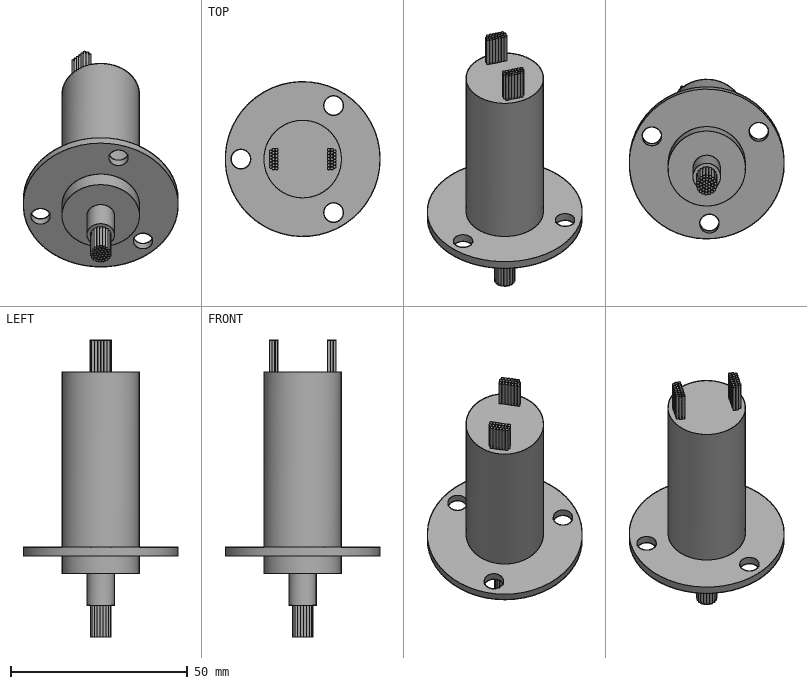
import cadquery as cq
import math

TOTAL_HEIGHT = 84.3
WIRE_LENGTH = 9.0
CABLE_LENGTH = 9.0
HOUSING_BELOW_FLANGE = 5.0
FLANGE_THICKNESS = 2.5

CABLE_BOTTOM = WIRE_LENGTH
HOUSING_BOTTOM = CABLE_BOTTOM + CABLE_LENGTH
FLANGE_BOTTOM = HOUSING_BOTTOM + HOUSING_BELOW_FLANGE
HOUSING_TOP = TOTAL_HEIGHT - WIRE_LENGTH

HOUSING_DIAMETER = 22.0
FLANGE_DIAMETER = 2 * HOUSING_DIAMETER
CABLE_DIAMETER = 7.8

HOLE_COUNT = 3
HOLE_DIAMETER = 5.5
HOLE_CIRCLE_RADIUS = 17.5
FIRST_HOLE_ANGLE = 180.0

WIRE_DIAMETER = 0.83
WIRE_GAP = 0.05
WIRE_PITCH = WIRE_DIAMETER + WIRE_GAP
WIRE_EMBED = 0.85

NESTING_ANGLE = math.radians(60)
INNER_COLUMN_X = 7.4
MIDDLE_COLUMN_X = INNER_COLUMN_X + WIRE_PITCH
OUTER_COLUMN_X = MIDDLE_COLUMN_X + WIRE_PITCH * math.sin(NESTING_ANGLE)

UPPER_COLUMNS = [(INNER_COLUMN_X, 7), (MIDDLE_COLUMN_X, 7), (OUTER_COLUMN_X, 6)]

LOWER_RING_COUNT = 3
WIRES_ADDED_PER_RING = 6
LOWER_RING_STEP = 0.85
LOWER_RING_TURN = math.radians(6)


def cylinder(diameter, bottom, height):
    return cq.Workplane("XY").workplane(offset=bottom).circle(diameter / 2).extrude(height)


def flange():
    plate = cylinder(FLANGE_DIAMETER, FLANGE_BOTTOM, FLANGE_THICKNESS)
    holes = (
        cq.Workplane("XY")
        .workplane(offset=FLANGE_BOTTOM)
        .polarArray(HOLE_CIRCLE_RADIUS, FIRST_HOLE_ANGLE, 360, HOLE_COUNT)
        .circle(HOLE_DIAMETER / 2)
        .extrude(FLANGE_THICKNESS)
    )
    return plate.cut(holes)


def upper_wire_centres():
    centres = []
    for side in (-1, 1):
        for distance, count in UPPER_COLUMNS:
            for index in range(count):
                y = (index - (count - 1) / 2) * WIRE_PITCH
                centres.append((side * distance, y))
    return centres


def lower_wire_centres():
    centres = [(0.0, 0.0)]
    for ring in range(1, LOWER_RING_COUNT + 1):
        count = WIRES_ADDED_PER_RING * ring
        radius = LOWER_RING_STEP * ring
        for index in range(count):
            angle = LOWER_RING_TURN + 2 * math.pi * index / count
            centres.append((radius * math.cos(angle), radius * math.sin(angle)))
    return centres


def wires(centres, bottom):
    return (
        cq.Workplane("XY")
        .workplane(offset=bottom)
        .pushPoints(centres)
        .circle(WIRE_DIAMETER / 2)
        .extrude(WIRE_LENGTH + WIRE_EMBED)
    )


housing = cylinder(HOUSING_DIAMETER, HOUSING_BOTTOM, HOUSING_TOP - HOUSING_BOTTOM)
cable = cylinder(CABLE_DIAMETER, CABLE_BOTTOM, CABLE_LENGTH)

result = (
    housing.union(flange())
    .union(cable)
    .union(wires(upper_wire_centres(), HOUSING_TOP - WIRE_EMBED))
    .union(wires(lower_wire_centres(), 0.0))
)